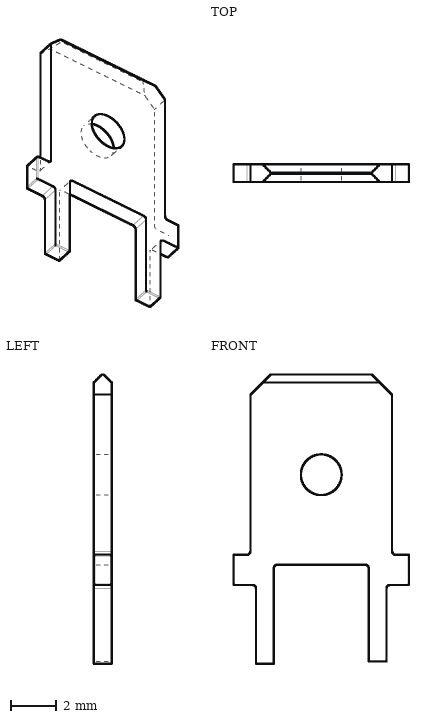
import cadquery as cq

thickness = 0.8
blade_width = 6.3
shoulder_width = 7.8
shoulder_height = 1.35
blade_height = 8.0
corner_cut = 0.9
tip_bevel = 0.36

hole_diameter = 1.8
hole_below_top = 4.45

leg_spacing = 5.0
leg_width = 0.8
left_leg_length = 3.5
right_leg_length = 3.4
gap_top = 0.9

inner_fillet = 0.15
end_round = 0.05

blade_half = blade_width / 2
shoulder_half = shoulder_width / 2
top_z = shoulder_height + blade_height
leg_outer = (leg_spacing + leg_width) / 2
leg_inner = (leg_spacing - leg_width) / 2


def plate(points):
    """Extrude an XZ outline to the full thickness, centred on Y = 0."""
    return cq.Workplane("XZ", origin=(0, thickness / 2, 0)).polyline(points).close().extrude(thickness)


def edges_along_y(body, corners):
    """Pick the edges parallel to Y that pass through the given (x, z) corners."""
    picked = body.newObject([])
    for x, z in corners:
        picked = picked.add(body.edges(cq.selectors.NearestToPointSelector((x, 0, z))))
    return picked


def make_blank():
    """Flat blade with cut top corners, two shoulders and two legs."""
    return plate([
        (-blade_half + corner_cut, top_z),
        (blade_half - corner_cut, top_z),
        (blade_half, top_z - corner_cut),
        (blade_half, shoulder_height),
        (shoulder_half, shoulder_height),
        (shoulder_half, 0),
        (leg_outer, 0),
        (leg_outer, -right_leg_length),
        (leg_inner, -right_leg_length),
        (leg_inner, gap_top),
        (-leg_inner, gap_top),
        (-leg_inner, -left_leg_length),
        (-leg_outer, -left_leg_length),
        (-leg_outer, 0),
        (-shoulder_half, 0),
        (-shoulder_half, shoulder_height),
        (-blade_half, shoulder_height),
        (-blade_half, top_z - corner_cut),
    ])


def round_inner_corners(body):
    """Fillet the concave corners of the outline."""
    blade_corners = [(side * blade_half, shoulder_height) for side in (-1, 1)]
    leg_corners = [(side * leg_outer, 0) for side in (-1, 1)]
    gap_corners = [(side * leg_inner, gap_top) for side in (-1, 1)]
    return edges_along_y(body, blade_corners + leg_corners + gap_corners).fillet(inner_fillet)


def bevel_tip(body):
    """Bevel the front and back edges of the blade's top."""
    for side in (-1, 1):
        face_y = side * thickness / 2
        wedge = (
            cq.Workplane("YZ")
            .polyline([
                (face_y, top_z),
                (face_y - side * tip_bevel, top_z),
                (face_y, top_z - tip_bevel),
            ])
            .close()
            .extrude(blade_half, both=True)
        )
        body = body.cut(wedge)
    return body


def drill_hole(body):
    """Round hole through the blade."""
    hole = (
        cq.Workplane("XZ", origin=(0, thickness / 2, top_z - hole_below_top))
        .circle(hole_diameter / 2)
        .extrude(thickness)
    )
    return body.cut(hole)


def soften_end(body, end_point):
    """Round all four edges of the end face centred at the given point."""
    end_face = body.faces(cq.selectors.NearestToPointSelector(end_point))
    return end_face.edges().fillet(end_round)


end_points = [
    (-shoulder_half, 0, shoulder_height / 2),
    (shoulder_half, 0, shoulder_height / 2),
    (-leg_spacing / 2, 0, -left_leg_length),
    (leg_spacing / 2, 0, -right_leg_length),
]

result = make_blank()
result = round_inner_corners(result)
result = bevel_tip(result)
result = drill_hole(result)
for point in end_points:
    result = soften_end(result, point)